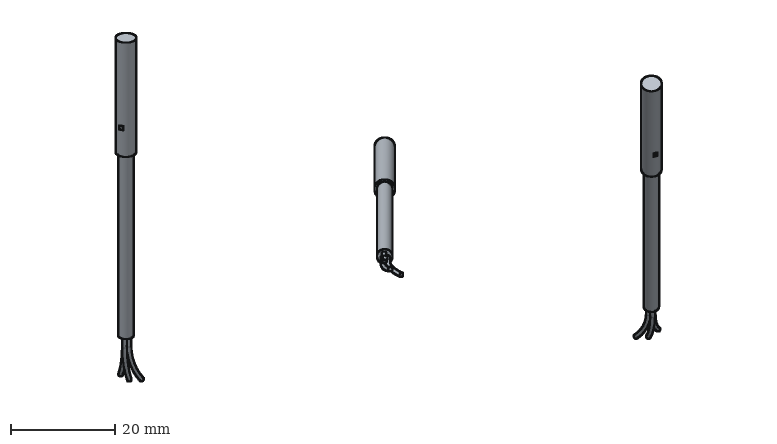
import cadquery as cq
import math

total_height = 75.65
head_diameter = 4.0
head_length = 24.95
cable_diameter = 3.0
cable_length = 40.1
head_bottom = total_height - head_length
cable_bottom = head_bottom - cable_length

window_size = 0.8
window_depth = 0.15
window_below_top = 18.75

wire_diameter = 0.9
wire_embed = 0.75
wire_straight = 2.3
side_wire_x = 0.5
side_wire_y = 0.3
side_tip_x = 2.35
side_tip_y = 2.2
side_tip_z = 0.45
middle_wire_y = -0.5
middle_tip_y = 1.4
middle_tip_z = 0.21


def vertical_cylinder(diameter, bottom, length):
    return cq.Workplane("XY").workplane(offset=bottom).circle(diameter / 2).extrude(length)


def bent_wire(start_x, start_y, tip_x, tip_y, tip_z):
    """Wire that leaves the cable vertically and bends in one vertical plane."""
    shift_x = tip_x - start_x
    shift_y = tip_y - start_y
    shift = math.hypot(shift_x, shift_y)
    bend_start = cable_bottom - wire_straight
    drop = bend_start - tip_z
    bend_angle = 2 * math.atan2(shift, drop)
    bend_radius = drop / math.sin(bend_angle)
    wire_top = cable_bottom + wire_embed

    bend_plane = cq.Plane(
        origin=(start_x, start_y, 0),
        xDir=(shift_x, shift_y, 0),
        normal=(shift_y, -shift_x, 0),
    )
    middle_of_arc = (
        bend_radius * (1 - math.cos(bend_angle / 2)),
        bend_start - bend_radius * math.sin(bend_angle / 2),
    )
    path = (
        cq.Workplane(bend_plane)
        .moveTo(0, wire_top)
        .lineTo(0, bend_start)
        .threePointArc(middle_of_arc, (shift, tip_z))
    )
    section = cq.Workplane("XY", origin=(start_x, start_y, wire_top)).circle(wire_diameter / 2)
    return section.sweep(path)


def indicator_window():
    return cq.Workplane("XY").box(window_size, 2 * window_depth, window_size).translate(
        (0, -head_diameter / 2, total_height - window_below_top)
    )


head = vertical_cylinder(head_diameter, head_bottom, head_length).cut(indicator_window())
cable = vertical_cylinder(cable_diameter, cable_bottom, cable_length)

result = head.union(cable)
for side in (-1, 1):
    result = result.union(
        bent_wire(side * side_wire_x, side_wire_y, side * side_tip_x, side_tip_y, side_tip_z)
    )
result = result.union(bent_wire(0, middle_wire_y, 0, middle_tip_y, middle_tip_z))